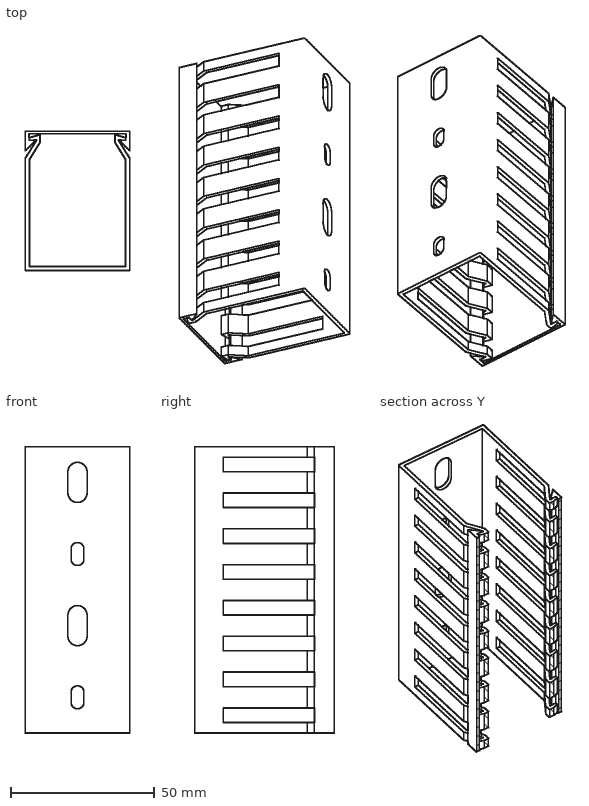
import cadquery as cq
import math

LENGTH = 100.0
WIDTH = 36.5
DEPTH = 48.7
HALF_WIDTH = WIDTH / 2

COVER_THICKNESS = 1.0
COVER_SIDE_THICKNESS = 1.4
COVER_SKIRT = 6.9
LEDGE_DEPTH = 3.2
LEDGE_REACH = 3.1
LEDGE_LIP = 0.7

WALL = 1.5
CORNER_RADIUS = 0.3
BEND_DEPTH = 9.5
NOTCH_INSET = 3.9
HOOK_INSET = 5.2
HOOK_TOP_DEPTH = 1.2
HOOK_TIP_DEPTH = 2.3

SLOT_COUNT = 8
SLOT_PITCH = LENGTH / SLOT_COUNT
SLOT_HEIGHT = 5.0
SLOT_FLOOR = 10.0

HOLE_COUNT = 4
HOLE_PITCH = LENGTH / HOLE_COUNT
LARGE_HOLE = (14.0, 6.7)
SMALL_HOLE = (8.0, 4.5)


def symmetric_extrusion(left_half):
    """Extrude along Z the outline made of a left half and its mirror image.

    Each point is (inset from the left side, depth below the cover's outer face).
    """
    left = [(inset - HALF_WIDTH, DEPTH - depth) for inset, depth in left_half]
    right = [(-x, y) for x, y in reversed(left)]
    return cq.Workplane("XY").polyline(left + right).close().extrude(LENGTH)


def make_cover():
    """Plate with a skirt and a tapered snap ledge along each side."""
    return symmetric_extrusion([
        (0, 0),
        (0, COVER_SKIRT),
        (LEDGE_REACH, LEDGE_DEPTH + LEDGE_LIP),
        (LEDGE_REACH, LEDGE_DEPTH),
        (COVER_SIDE_THICKNESS, LEDGE_DEPTH),
        (COVER_SIDE_THICKNESS, COVER_THICKNESS),
    ])


def make_channel_profile():
    """U-shaped channel with hooked side walls, before any openings are cut."""
    lean = math.atan2(NOTCH_INSET, BEND_DEPTH - LEDGE_DEPTH)
    inner_bend_depth = BEND_DEPTH + WALL * math.tan(lean / 2)
    hook_base_depth = inner_bend_depth - (HOOK_INSET - WALL) / math.tan(lean)
    channel = symmetric_extrusion([
        (0, DEPTH),
        (0, BEND_DEPTH),
        (NOTCH_INSET, LEDGE_DEPTH),
        (COVER_SIDE_THICKNESS, LEDGE_DEPTH),
        (COVER_SIDE_THICKNESS, HOOK_TIP_DEPTH),
        (HOOK_INSET, HOOK_TOP_DEPTH),
        (HOOK_INSET, hook_base_depth),
        (WALL, inner_bend_depth),
        (WALL, DEPTH - WALL),
    ])
    return channel.edges("|Z and <Y").fillet(CORNER_RADIUS)


def cut_wire_slots(channel):
    """Divide both side walls, hooks included, into separate fingers."""
    for index in range(SLOT_COUNT):
        cutter = cq.Workplane("XY").box(
            WIDTH, DEPTH - SLOT_FLOOR, SLOT_HEIGHT, centered=(True, False, True)
        )
        channel = channel.cut(cutter.translate((0, SLOT_FLOOR, (index + 0.5) * SLOT_PITCH)))
    return channel


def cut_mounting_holes(channel):
    """Cut the row of oblong holes through the base, long axis along Z."""
    for index in range(HOLE_COUNT):
        length, width = SMALL_HOLE if index % 2 == 0 else LARGE_HOLE
        cutter = (
            cq.Workplane("XZ", origin=(0, 0, (index + 0.5) * HOLE_PITCH))
            .slot2D(length, width, 90)
            .extrude(-WALL)
        )
        channel = channel.cut(cutter)
    return channel


cover = make_cover()
channel = cut_mounting_holes(cut_wire_slots(make_channel_profile()))

result = cq.Compound.makeCompound([cover.val(), channel.val()])